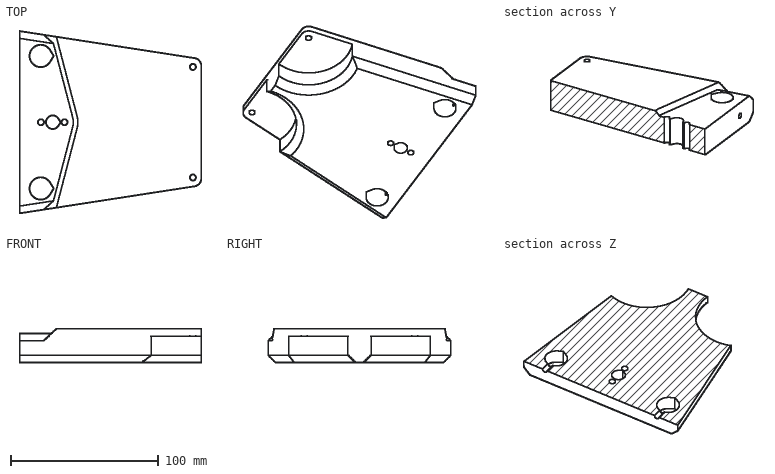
import cadquery as cq
import math

length = 123.5
wide_half_width = 62.0
narrow_half_width = 42.9
corner_radius = 5.6

height = 23.0
ledge_height = 20.0
chamfer = 5.0

step_tip_x = 40.1
step_angle = 14.6
step_tip_radius = 14.0
step_foot = ledge_height - chamfer

bore_x = 14.4
bore_y = 45.0
bore_diameter = 15.0
center_hole_x = 22.5
center_hole_diameter = 9.0
pin_spacing = 16.0
pin_diameter = 4.0
teardrop_ratio = 1.165
cross_hole_diameter = 3.5
cross_hole_z = ledge_height / 2

corner_hole_x = 117.7
corner_hole_y = 37.5
corner_hole_diameter = 4.0
pocket_radius = 30.2
pocket_depth = 18.0

overrun = 24.8


def trapezoid_prism(prism_height):
    return (
        cq.Workplane("XY")
        .polyline([
            (0, -wide_half_width),
            (length, -narrow_half_width),
            (length, narrow_half_width),
            (0, wide_half_width),
        ])
        .close()
        .extrude(prism_height)
    )


def raised_body():
    return trapezoid_prism(height).edges("|Z and >X").fillet(corner_radius)


def side_chamfer_cutters():
    """Wedges that bevel the bottom of both slanted sides."""
    bevelled = trapezoid_prism(height).faces("<Z").edges("not |Y").chamfer(chamfer)
    return trapezoid_prism(height).cut(bevelled)


def ledge_body():
    return trapezoid_prism(ledge_height).faces(">Z").edges("not |Y").chamfer(chamfer)


def step_space():
    """Space in front of the step; its V-shaped wall leans back at 45 degrees."""
    angle = math.radians(step_angle)
    rise = height - step_foot
    foot_tip_x = step_tip_x - rise / math.cos(angle)
    arm_half_span = wide_half_width + overrun
    arm_end_x = foot_tip_x - arm_half_span * math.tan(angle)
    foot_radius = step_tip_radius - (ledge_height - step_foot)
    tangent_length = foot_radius * math.tan(angle)
    tangent_x = foot_tip_x - tangent_length * math.sin(angle)
    tangent_y = tangent_length * math.cos(angle)
    arc_x = foot_tip_x - foot_radius * (1 / math.cos(angle) - 1)
    return (
        cq.Workplane("XY", origin=(0, 0, step_foot))
        .moveTo(-overrun, -arm_half_span)
        .lineTo(arm_end_x, -arm_half_span)
        .lineTo(tangent_x, -tangent_y)
        .threePointArc((arc_x, 0), (tangent_x, tangent_y))
        .lineTo(arm_end_x, arm_half_span)
        .lineTo(-overrun, arm_half_span)
        .close()
        .extrude(rise, taper=-45)
    )


def corner_pocket(side):
    """Round pocket around a corner hole, flared at the bottom."""
    flare_radius = pocket_radius + chamfer
    return (
        cq.Workplane("XZ")
        .polyline([
            (0, 0),
            (flare_radius, 0),
            (pocket_radius, chamfer),
            (pocket_radius, pocket_depth),
            (0, pocket_depth),
        ])
        .close()
        .revolve(360, (0, 0), (0, 1))
        .translate((corner_hole_x, side * corner_hole_y, 0))
    )


def round_hole(x, y, diameter):
    return cq.Workplane("XY").center(x, y).circle(diameter / 2).extrude(height)


def teardrop_hole(x, y, diameter):
    """Through hole drawn out to a point toward +X."""
    radius = diameter / 2
    tangent_x = radius / teardrop_ratio
    tangent_y = math.sqrt(radius**2 - tangent_x**2)
    return (
        cq.Workplane("XY")
        .center(x, y)
        .moveTo(tangent_x, tangent_y)
        .threePointArc((-radius, 0), (tangent_x, -tangent_y))
        .lineTo(radius * teardrop_ratio, 0)
        .close()
        .extrude(height)
    )


def cross_hole(y):
    """Small hole from the wide end face into a large bore."""
    return (
        cq.Workplane("YZ")
        .center(y, cross_hole_z)
        .circle(cross_hole_diameter / 2)
        .extrude(bore_x)
    )


result = raised_body().cut(side_chamfer_cutters())
result = result.cut(step_space().cut(ledge_body()))
result = result.cut(teardrop_hole(center_hole_x, 0, center_hole_diameter))

for side in (-1, 1):
    result = result.cut(corner_pocket(side))
    result = result.cut(round_hole(corner_hole_x, side * corner_hole_y, corner_hole_diameter))
    result = result.cut(teardrop_hole(bore_x, side * bore_y, bore_diameter))
    result = result.cut(cross_hole(side * bore_y))
    result = result.cut(round_hole(center_hole_x + side * pin_spacing / 2, 0, pin_diameter))